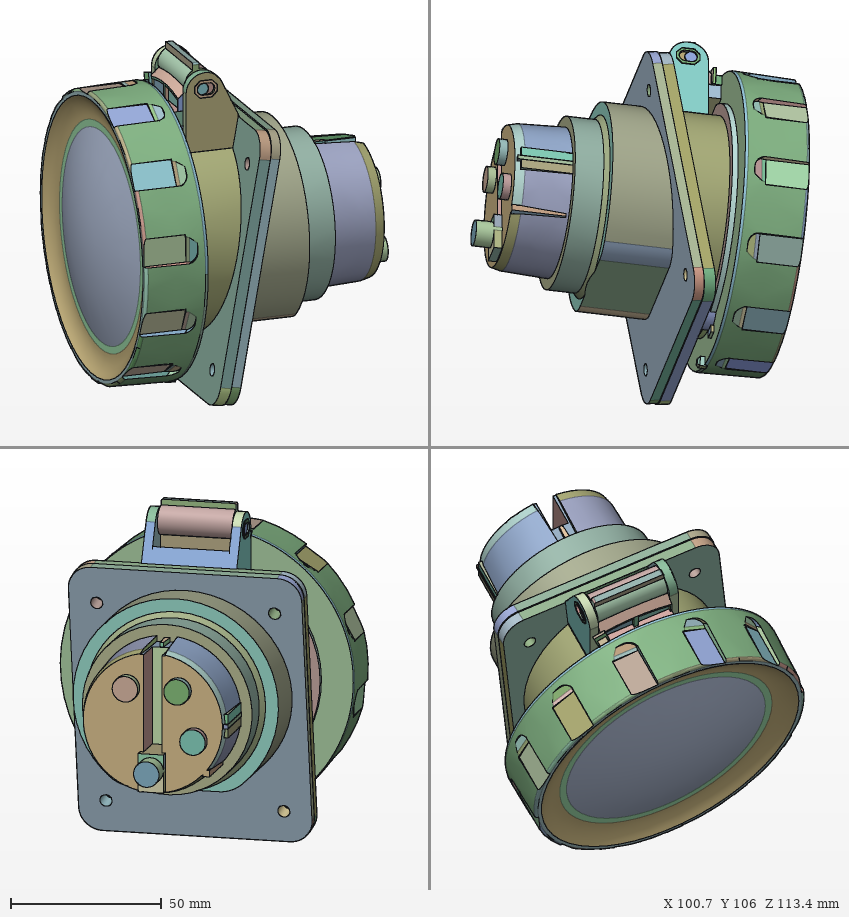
import cadquery as cq
import math


OVERLAP = 1.0

CAP_RADIUS = 50.37
CAP_FRONT_RADIUS = 49.8
CAP_LENGTH = 22.1
CAP_EDGE_FILLET = 1.0
CAP_BACK_LIP = 1.0
CAP_BACK_STEP = 0.3
RIM_INNER_RADIUS = 47.5
DISH_RADIUS = 39.2
DOME_RADIUS = 36.7
DOME_APEX_Y = -2.85
DOME_EDGE_Y = 3.15
DISH_BULGE = 0.9

FLUTE_COUNT = 12
FLUTE_START_ANGLE = 10.5
FLUTE_WIDTH = 9.9
FLUTE_LENGTH = 18.7
FLUTE_END_RADIUS = 4.0
FLUTE_DEPTH = 1.6
FLUTE_WALL_WIDTH = 0.6
FLUTE_RAMP_START = 14.8
FLUTE_RAMP_BREAK = 16.1
FLUTE_RAMP_RISE = 0.15
FLUTE_RAMP_TOP = 0.7

HOOK_RADIUS = 48.4
HOOK_ANGLE = 105.5
HOOK_WIDTH = 3.2
HOOK_HEAD_WIDTH = 4.4
HOOK_LENGTH = 3.2
HOOK_HEAD_LENGTH = 1.0
HOOK_THICKNESS = 3.2
HOOK_HEAD_HEIGHT = 5.6
STUD_RADIUS = 49.0
STUD_SIZE = 3.2
STUD_LENGTH = 2.4
STUD_CHAMFER = 0.8
STOP_TAB = (4.0, 1.0, 2.7)
STOP_TAB_Z = -43.15

COLLAR_RADIUS = 39.2
COLLAR_BACK_Y = 24.0
COLLAR_TOP_Z = 36.7
HOUSING_RADIUS = 35.1
HOUSING_BOTTOM = 29.8
HOUSING_BOTTOM_FILLET = 12.0
HOUSING_BACK_Y = 63.7
BOSS_RADIUS = 6.7
BOSS_Z = -34.8

CONE_RADIUS = 30.7
NECK_RADIUS = 29.0
NECK_START_Y = 65.4
NECK_BACK_Y = 75.1
CARRIER_RADIUS = 25.3
CARRIER_MID_RADIUS = 24.6
CARRIER_END_RADIUS = 23.8
CARRIER_MID_Y = 91.1
CARRIER_BACK_Y = 94.4

PLATE_TILT = 10.0
PLATE_WIDTH = 79.8
PLATE_HEIGHT = 95.1
PLATE_THICKNESS = 7.2
PLATE_BACK_LAYER = 3.3
PLATE_FRONT_DROP = 0.5
PLATE_SEAM = 0.1
PLATE_CORNER = 8.0
PLATE_CENTER = (0, 44.4, -5.55)
PLATE_HOLE_DIAMETER = 4.1
PLATE_HOLE_X = 30.4
PLATE_HOLE_TOP = 34.8
PLATE_HOLE_BOTTOM = -36.6

SLOT_DEPTH = 1.5
SLOT_BACK_WIDTH = 8.4
SLOT_FRONT_WIDTH = 7.0
SLOT_RIB_WIDTH = 1.9
SLOT_RIB_TIP_WIDTH = 1.2
SLOT_RIB_LENGTH = 7.1
DEEP_SLOT_WIDTH = 6.2
DEEP_SLOT_LENGTH = 11.5
DEEP_SLOT_FLOOR_Z = -10.0
PAD_WIDTH = 8.0
PAD_BACK_Y = 92.6
PAD_RIB_WIDTH = 1.5
PAD_RIB_BACK_Y = 93.7
PAD_RIB_HEIGHT = 0.15
SIDE_RIB_X = (-19.4, -17.0)
SIDE_RIB_Z = (-17.2, -15.0)
SIDE_RIB_START_Y = 76.1
TERMINAL_DIAMETER = 8.7
TERMINAL_RADIUS = 15.0
TERMINAL_CENTER_Z = -0.5
TERMINAL_ANGLES = (54, 126, 198)
TERMINAL_BACK_Y = 97.2
EARTH_BACK_Y = 103.14
EARTH_BASE_WIDTH = 8.6
EARTH_BASE_BOTTOM_Z = -23.0

BRACKET_WIDTH = 32.6
BRACKET_GAP = 26.2
BRACKET_RADIUS = 6.65
BRACKET_EYE = (33.7, 51.9)
BRACKET_FOOT = (46.1, 41.5)
BRACKET_BOTTOM_Z = 31.2
BRACKET_WALL = 2.8
BRACKET_FLOOR_Z = 36.0
PIN_CENTER = (34.0, 52.9)
PIN_BOSS_SIZE = (8.0, 6.0)
PIN_BOSS_CHAMFER = 1.9
PIN_BOSS_HEIGHT = 0.35
PIN_SLOT_LENGTH = 6.1
PIN_DIAMETER = 4.1
PIN_SLOT_DEPTH = 1.0
PIN_RECESS = 0.5

LINK_WIDTH = 25.6
LINK_BARREL_RADIUS = 5.0
LINK_BARREL_CENTER = (33.0, 54.1)
LINK_TAB_Y = (30.7, 33.0)
LINK_TOP_Z = 61.05
LINK_TAB_FILLET = 0.6
LINK_FRONT_Y = 25.4
NOSE_TIP_RADIUS = 51.1
NOSE_ROOT_RADIUS = 54.3
NOSE_ROOT_Y = 29.0
NOSE_INNER_RADIUS = 43.0
LINK_RECESS_RADIUS = 50.3
LINK_RECESS_DEPTH = 1.2
LINK_RECESS_WIDTH = 25.2
LINK_RIB_WIDTH = 1.6
STRAP_WIDTH = 26.4
STRAP_Z = (39.8, 45.0)


def block(x_range, y_range, z_range):
    """Axis-aligned box given by its limits."""
    limits = (x_range, y_range, z_range)
    sizes = [high - low for low, high in limits]
    corner = cq.Vector(*[low for low, high in limits])
    return cq.Workplane("XY").box(*sizes, centered=False).translate(corner)


def centered(width):
    """Limits of a width centred on zero."""
    return (-width / 2, width / 2)


def rod(x, z, radius, y_start, y_end):
    """Cylinder parallel to Y."""
    plane = cq.Plane(origin=(x, y_start, z), xDir=(1, 0, 0), normal=(0, 1, 0))
    return cq.Workplane(plane).circle(radius).extrude(y_end - y_start)


def turn(solid, angle):
    """Turn a solid lying on +X to a polar angle about the Y axis (90 is +Z)."""
    return solid.rotate((0, 0, 0), (0, 1, 0), -angle)


def side_prism(outline, width):
    """Extrude a YZ outline symmetrically about x = 0."""
    return outline.extrude(width / 2, both=True)


def make_cap():
    """Turned cap with a domed, dished front and a rounded rim."""
    lip_y = CAP_LENGTH - CAP_BACK_LIP
    dish_mid = (
        (DISH_RADIUS + RIM_INNER_RADIUS) / 2,
        DOME_EDGE_Y / 2 + DISH_BULGE,
    )
    dome_sag = DOME_EDGE_Y - DOME_APEX_Y
    sphere_radius = (DOME_RADIUS**2 + dome_sag**2) / (2 * dome_sag)
    mid_radius = DOME_RADIUS / 2
    mid_sag = sphere_radius - math.sqrt(sphere_radius**2 - mid_radius**2)
    corner_shift = CAP_EDGE_FILLET * (1 - math.sqrt(0.5))
    profile = (
        cq.Workplane("XY")
        .moveTo(0, DOME_APEX_Y)
        .threePointArc((mid_radius, DOME_APEX_Y + mid_sag), (DOME_RADIUS, DOME_EDGE_Y))
        .lineTo(DISH_RADIUS, DOME_EDGE_Y)
        .threePointArc(dish_mid, (RIM_INNER_RADIUS, 0))
        .lineTo(CAP_FRONT_RADIUS - CAP_EDGE_FILLET, 0)
        .threePointArc(
            (CAP_FRONT_RADIUS - corner_shift, corner_shift),
            (CAP_FRONT_RADIUS, CAP_EDGE_FILLET),
        )
        .lineTo(CAP_RADIUS, lip_y)
        .lineTo(CAP_RADIUS - CAP_BACK_STEP, CAP_LENGTH)
        .lineTo(0, CAP_LENGTH)
        .close()
    )
    return profile.revolve(360, (0, 0, 0), (0, 1, 0))


def make_flute_ramp(edge_radius):
    """Material kept at the rear end of a flute, rising from its sloping floor."""
    half = FLUTE_WIDTH / 2
    below_floor = edge_radius - FLUTE_DEPTH
    floor_slope = math.degrees(math.atan2(FLUTE_DEPTH, FLUTE_WIDTH - FLUTE_WALL_WIDTH))
    ramp = (
        cq.Workplane("XY", origin=(0, 0, -FLUTE_WIDTH))
        .moveTo(below_floor, FLUTE_RAMP_START)
        .lineTo(edge_radius, FLUTE_RAMP_START)
        .lineTo(edge_radius + FLUTE_RAMP_RISE, FLUTE_RAMP_BREAK)
        .lineTo(edge_radius + FLUTE_RAMP_TOP, FLUTE_LENGTH)
        .lineTo(below_floor, FLUTE_LENGTH)
        .close()
        .extrude(2 * FLUTE_WIDTH)
    )
    return ramp.rotate((edge_radius, 0, half), (edge_radius, 1, half), floor_slope)


def make_flute_cutter():
    """Ratchet-shaped flute at angle zero: flush at its upper edge, deep at its lower edge."""
    half = FLUTE_WIDTH / 2
    edge_radius = math.sqrt(CAP_RADIUS**2 - half**2)
    floor_radius = edge_radius - FLUTE_DEPTH
    outside = CAP_RADIUS + OVERLAP
    wedge = (
        cq.Workplane("XZ")
        .moveTo(edge_radius - CAP_RADIUS + CAP_FRONT_RADIUS, half)
        .lineTo(floor_radius, -half + FLUTE_WALL_WIDTH)
        .lineTo(edge_radius, -half)
        .lineTo(outside, -half)
        .lineTo(outside, half)
        .close()
        .extrude(-FLUTE_LENGTH)
    )
    window = block(
        (floor_radius - OVERLAP, outside), (-FLUTE_LENGTH, FLUTE_LENGTH), centered(FLUTE_WIDTH)
    ).edges("|X").fillet(FLUTE_END_RADIUS)
    return wedge.intersect(window).cut(make_flute_ramp(edge_radius))


def cut_flutes(cap):
    """Repeat the flute evenly around the cap."""
    cutter = make_flute_cutter()
    for index in range(FLUTE_COUNT):
        cap = cap.cut(turn(cutter, FLUTE_START_ANGLE + index * 360 / FLUTE_COUNT))
    return cap


def make_hooks():
    """Upper hook with a tall head, opposite lower stud, and a stop tab on the back of the cap."""
    hook_end = CAP_LENGTH + HOOK_LENGTH
    stem_radii = (HOOK_RADIUS - HOOK_THICKNESS / 2, HOOK_RADIUS + HOOK_THICKNESS / 2)
    stem = block(stem_radii, (CAP_LENGTH - CAP_BACK_LIP, hook_end), centered(HOOK_WIDTH))
    head_radii = (stem_radii[0], stem_radii[0] + HOOK_HEAD_HEIGHT)
    head = block(head_radii, (hook_end - HOOK_HEAD_LENGTH, hook_end), centered(HOOK_HEAD_WIDTH))
    tab_width, tab_length, tab_height = STOP_TAB
    tab = block(
        centered(tab_width),
        (CAP_LENGTH - CAP_BACK_LIP, CAP_LENGTH + tab_length),
        (STOP_TAB_Z - tab_height / 2, STOP_TAB_Z + tab_height / 2),
    )
    stud = (
        block(
            (STUD_RADIUS - STUD_SIZE / 2, STUD_RADIUS + STUD_SIZE / 2),
            (CAP_LENGTH - CAP_BACK_LIP, CAP_LENGTH + STUD_LENGTH),
            centered(STUD_SIZE),
        )
        .faces(">Y").chamfer(STUD_CHAMFER)
    )
    upper = turn(stem.union(head), HOOK_ANGLE)
    lower = turn(stud, HOOK_ANGLE + 180)
    return upper.union(lower).union(tab)


def plate_plane(height):
    """Plane parallel to the mounting plate, at a height above its back face."""
    tilt = math.radians(PLATE_TILT)
    normal = cq.Vector(0, -math.cos(tilt), math.sin(tilt))
    return cq.Plane(origin=cq.Vector(*PLATE_CENTER) + normal * height, xDir=(1, 0, 0), normal=normal)


def make_plate():
    """Tilted plate of two layers, the front one narrower and set slightly lower."""
    back = (
        cq.Workplane(plate_plane(0))
        .sketch().rect(PLATE_WIDTH, PLATE_HEIGHT).vertices().fillet(PLATE_CORNER).finalize()
        .extrude(PLATE_BACK_LAYER)
    )
    front = (
        cq.Workplane(plate_plane(PLATE_BACK_LAYER))
        .center(0, -PLATE_FRONT_DROP)
        .sketch()
        .rect(PLATE_WIDTH - 2 * PLATE_SEAM, PLATE_HEIGHT)
        .vertices().fillet(PLATE_CORNER)
        .finalize()
        .extrude(PLATE_THICKNESS - PLATE_BACK_LAYER)
    )
    hole_points = [
        (x, height)
        for x in (-PLATE_HOLE_X, PLATE_HOLE_X)
        for height in (PLATE_HOLE_BOTTOM, PLATE_HOLE_TOP)
    ]
    holes = (
        cq.Workplane(plate_plane(0))
        .pushPoints(hole_points)
        .circle(PLATE_HOLE_DIAMETER / 2)
        .extrude(PLATE_THICKNESS)
    )
    return back.union(front).cut(holes)


def make_front_housing():
    """Collar and round housing between the cap and the plate."""
    collar = rod(0, 0, COLLAR_RADIUS, CAP_LENGTH - CAP_BACK_LIP, COLLAR_BACK_Y)
    top_trim = block(
        centered(2 * COLLAR_RADIUS), (CAP_LENGTH, COLLAR_BACK_Y), (COLLAR_TOP_Z, COLLAR_RADIUS)
    )
    tube = rod(0, 0, HOUSING_RADIUS, CAP_LENGTH, HOUSING_BACK_Y)
    boss = rod(0, BOSS_Z, BOSS_RADIUS, CAP_LENGTH, HOUSING_BACK_Y)
    behind_plate = (
        cq.Workplane(plate_plane(PLATE_THICKNESS / 2))
        .rect(2 * PLATE_WIDTH, 2 * PLATE_HEIGHT)
        .extrude(-HOUSING_BACK_Y)
    )
    return collar.cut(top_trim).union(tube.union(boss).cut(behind_plate))


def make_rear_housing():
    """Round housing with a flattened bottom, running from the plate to the neck."""
    start_y = PLATE_CENTER[1] - PLATE_THICKNESS
    below = block(
        centered(2 * HOUSING_RADIUS), (start_y, HOUSING_BACK_Y), (-HOUSING_RADIUS, -HOUSING_BOTTOM)
    )
    housing = rod(0, 0, HOUSING_RADIUS, start_y, HOUSING_BACK_Y).cut(below)
    bottom_edges = housing.faces("<Z").edges("|Y")
    return bottom_edges.fillet(HOUSING_BOTTOM_FILLET)


def make_neck_and_carrier():
    """Turned cone, neck and tapered contact carrier behind the housing."""
    profile = (
        cq.Workplane("XY")
        .moveTo(0, HOUSING_BACK_Y - OVERLAP)
        .lineTo(HOUSING_BOTTOM - OVERLAP, HOUSING_BACK_Y - OVERLAP)
        .lineTo(HOUSING_BOTTOM - OVERLAP, HOUSING_BACK_Y)
        .lineTo(CONE_RADIUS, HOUSING_BACK_Y)
        .lineTo(NECK_RADIUS, NECK_START_Y)
        .lineTo(NECK_RADIUS, NECK_BACK_Y)
        .lineTo(CARRIER_RADIUS, NECK_BACK_Y)
        .lineTo(CARRIER_MID_RADIUS, CARRIER_MID_Y)
        .lineTo(CARRIER_END_RADIUS, CARRIER_BACK_Y)
        .lineTo(0, CARRIER_BACK_Y)
        .close()
    )
    below = block(
        centered(2 * CONE_RADIUS), (HOUSING_BACK_Y - OVERLAP, NECK_START_Y), (-CONE_RADIUS, -HOUSING_BOTTOM)
    )
    return profile.revolve(360, (0, 0, 0), (0, 1, 0)).cut(below)


def trapezoid_prism(front, back, front_width, back_width, bottom_z, top_z):
    """Prism along Z whose width changes from y = front to y = back."""
    return (
        cq.Workplane("XY", origin=(0, 0, bottom_z))
        .moveTo(-front_width / 2, front)
        .lineTo(front_width / 2, front)
        .lineTo(back_width / 2, back)
        .lineTo(-back_width / 2, back)
        .close()
        .extrude(top_z - bottom_z)
    )


def cut_top_slot(body):
    """Shallow tapered slot with a rib, opening into a deep slot at the rear."""
    floor_z = CARRIER_MID_RADIUS - SLOT_DEPTH
    shallow = trapezoid_prism(
        NECK_BACK_Y, CARRIER_BACK_Y, SLOT_FRONT_WIDTH, SLOT_BACK_WIDTH, floor_z, CARRIER_RADIUS
    )
    deep = block(
        centered(DEEP_SLOT_WIDTH),
        (CARRIER_BACK_Y - DEEP_SLOT_LENGTH, CARRIER_BACK_Y),
        (DEEP_SLOT_FLOOR_Z, CARRIER_RADIUS),
    )
    rib = trapezoid_prism(
        NECK_BACK_Y, NECK_BACK_Y + SLOT_RIB_LENGTH, SLOT_RIB_WIDTH, SLOT_RIB_TIP_WIDTH,
        floor_z - OVERLAP, CARRIER_MID_RADIUS,
    )
    return body.cut(shallow).cut(deep).union(rib)


def make_carrier_ribs():
    """Side pad with a centre rib, and a narrow rib lower on the same side."""
    inner = CARRIER_END_RADIUS - OVERLAP
    rib_outer = CARRIER_RADIUS + PAD_RIB_HEIGHT
    pad = block((inner, CARRIER_RADIUS), (NECK_BACK_Y, PAD_BACK_Y), centered(PAD_WIDTH))
    pad_rib = block((inner, rib_outer), (NECK_BACK_Y, PAD_RIB_BACK_Y), centered(PAD_RIB_WIDTH))
    ribs = turn(pad.union(pad_rib), 180)
    return ribs.union(block(SIDE_RIB_X, (SIDE_RIB_START_Y, CARRIER_BACK_Y), SIDE_RIB_Z))


def make_terminals():
    """Three short terminals and a long earth terminal on a rectangular base."""
    radius = TERMINAL_DIAMETER / 2
    start = CARRIER_BACK_Y - OVERLAP
    earth_z = TERMINAL_CENTER_Z - TERMINAL_RADIUS
    terminals = rod(0, earth_z, radius, start, EARTH_BACK_Y)
    base = block(
        centered(EARTH_BASE_WIDTH), (start, TERMINAL_BACK_Y), (EARTH_BASE_BOTTOM_Z, DEEP_SLOT_FLOOR_Z)
    )
    terminals = terminals.union(base)
    for angle in TERMINAL_ANGLES:
        x = TERMINAL_RADIUS * math.cos(math.radians(angle))
        z = TERMINAL_CENTER_Z + TERMINAL_RADIUS * math.sin(math.radians(angle))
        terminals = terminals.union(rod(x, z, radius, start, TERMINAL_BACK_Y))
    return terminals


def make_bracket():
    """Two hinge arms joined by a sloping back wall and a floor in front of the plate."""
    eye_y, eye_z = BRACKET_EYE
    foot_y, foot_z = BRACKET_FOOT
    front_y = eye_y - BRACKET_RADIUS
    foot_distance = math.hypot(foot_y - eye_y, foot_z - eye_z)
    foot_angle = math.atan2(foot_z - eye_z, foot_y - eye_y)
    tangent_angle = foot_angle + math.acos(BRACKET_RADIUS / foot_distance)
    tangent = (
        eye_y + BRACKET_RADIUS * math.cos(tangent_angle),
        eye_z + BRACKET_RADIUS * math.sin(tangent_angle),
    )
    root_y = foot_y - (foot_z - BRACKET_BOTTOM_Z) * math.tan(math.radians(PLATE_TILT))
    outline = (
        cq.Workplane("YZ")
        .moveTo(front_y, BRACKET_BOTTOM_Z)
        .lineTo(front_y, eye_z)
        .threePointArc((eye_y, eye_z + BRACKET_RADIUS), tangent)
        .lineTo(foot_y, foot_z)
        .lineTo(foot_y + OVERLAP, foot_z - OVERLAP)
        .lineTo(root_y + OVERLAP, BRACKET_BOTTOM_Z)
        .close()
    )
    arms = side_prism(outline, BRACKET_WIDTH)
    gap = block(
        centered(BRACKET_GAP),
        (front_y, foot_y - BRACKET_WALL),
        (BRACKET_FLOOR_Z, eye_z + BRACKET_RADIUS),
    )
    return arms.cut(gap)


def add_pin_ends(bracket):
    """Octagonal pin bosses on the outer faces, each with a slot holding the pin end."""
    pin_y, pin_z = PIN_CENTER
    length, height = PIN_BOSS_SIZE
    boss = block(
        centered(BRACKET_WIDTH + 2 * PIN_BOSS_HEIGHT),
        (pin_y - length / 2, pin_y + length / 2),
        (pin_z - height / 2, pin_z + height / 2),
    ).edges("|X").chamfer(PIN_BOSS_CHAMFER)
    gap = block(centered(BRACKET_GAP), (pin_y - length, pin_y + length), (pin_z - height, pin_z + height))
    bracket = bracket.union(boss.cut(gap))
    outer_x = BRACKET_WIDTH / 2 + PIN_BOSS_HEIGHT
    pin_offset = (PIN_SLOT_LENGTH - PIN_DIAMETER) / 2
    slot = (
        cq.Workplane("YZ", origin=(outer_x - PIN_SLOT_DEPTH, pin_y, pin_z))
        .slot2D(PIN_SLOT_LENGTH, PIN_DIAMETER)
        .extrude(PIN_SLOT_DEPTH)
    )
    pin = (
        cq.Workplane("YZ", origin=(outer_x - PIN_SLOT_DEPTH, pin_y - pin_offset, pin_z))
        .circle(PIN_DIAMETER / 2)
        .extrude(PIN_SLOT_DEPTH - PIN_RECESS)
    )
    recess = slot.cut(pin)
    return bracket.cut(recess).cut(recess.mirror("YZ"))


def make_link_nose():
    """Sector concentric with the cap, with two recesses under its front edge."""
    barrel_y = LINK_BARREL_CENTER[0]
    ring = (
        cq.Workplane("XY")
        .moveTo(NOSE_INNER_RADIUS, LINK_FRONT_Y)
        .lineTo(NOSE_TIP_RADIUS, LINK_FRONT_Y)
        .lineTo(NOSE_ROOT_RADIUS, NOSE_ROOT_Y)
        .lineTo(NOSE_ROOT_RADIUS, barrel_y)
        .lineTo(NOSE_INNER_RADIUS, barrel_y)
        .close()
        .revolve(360, (0, 0, 0), (0, 1, 0))
    )
    sector = block(centered(BRACKET_GAP), (LINK_FRONT_Y, barrel_y), (STRAP_Z[0], NOSE_ROOT_RADIUS))
    nose = ring.intersect(sector)
    recess_end = LINK_FRONT_Y + LINK_RECESS_DEPTH
    recess = rod(0, 0, LINK_RECESS_RADIUS, LINK_FRONT_Y, recess_end)
    half_recess = LINK_RECESS_WIDTH / 2
    half_rib = LINK_RIB_WIDTH / 2
    for x_range in ((-half_recess, -half_rib), (half_rib, half_recess)):
        window = block(x_range, (LINK_FRONT_Y, recess_end), (STRAP_Z[1], LINK_RECESS_RADIUS))
        nose = nose.cut(recess.intersect(window))
    return nose


def make_link():
    """Hinge barrel between the arms, with a top tab, a nose over the cap edge and a strap to the cap."""
    barrel_y, barrel_z = LINK_BARREL_CENTER
    barrel = side_prism(
        cq.Workplane("YZ").center(barrel_y, barrel_z).circle(LINK_BARREL_RADIUS), LINK_WIDTH
    )
    tab = (
        block(centered(LINK_WIDTH), LINK_TAB_Y, (barrel_z, LINK_TOP_Z))
        .edges("|Y and >Z").fillet(LINK_TAB_FILLET)
    )
    strap = block(centered(STRAP_WIDTH), (CAP_LENGTH - CAP_BACK_LIP, barrel_y), STRAP_Z)
    return barrel.union(tab).union(make_link_nose()).union(strap)


body = cut_flutes(make_cap())
body = body.union(make_hooks())
body = body.union(make_front_housing())
body = body.union(make_plate())
body = body.union(make_rear_housing())
body = body.union(make_neck_and_carrier())
body = cut_top_slot(body)
body = body.union(make_carrier_ribs())
body = body.union(make_terminals())
body = body.union(add_pin_ends(make_bracket()))
result = body.union(make_link())